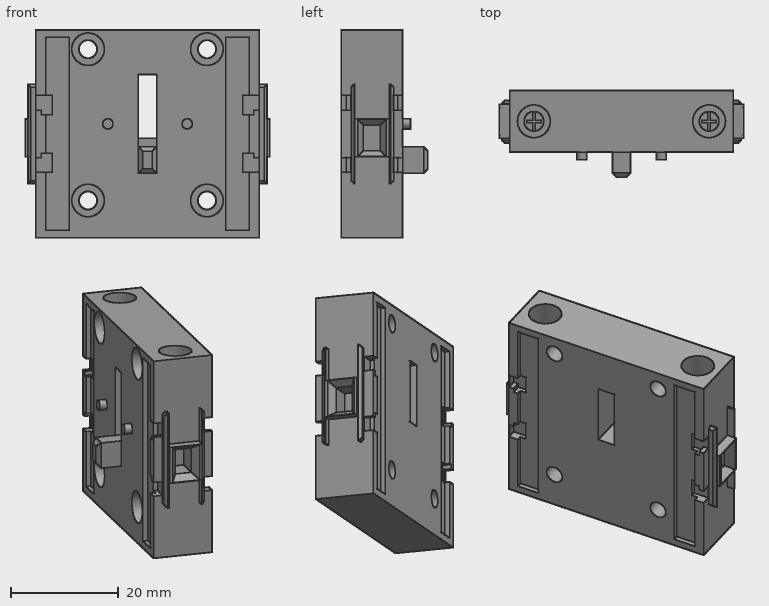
import cadquery as cq

overall_width = 45.4

body_width = 41.5
body_depth = 11.45
body_height = 38.6

groove_inner_x = 14.5
groove_outer_x = 18.85
groove_height = 35.78
groove_depth = 0.95

notch_inner_x = 17.7
notch_step_x = 19.75
notch_inner_z = 3.6
notch_step_z = 4.4
notch_outer_z = 7.15
notch_depth = 1.75

mount_x = 11.05
mount_z_positions = (15.7, -12.35)
mount_hole_diameter = 3.3
mount_bore_diameter = 6.05
mount_bore_depth = 2.3

screw_x = 16.25
screw_bore_diameter = 6.1
screw_bore_depth = 5.45
screw_head_diameter = 3.65
screw_head_height = 0.9
cross_slot_width = 0.45
cross_short_length = 2.72
cross_depth = 0.45

slot_width = 3.4
slot_top_z = 11.0
slot_bottom_z = -7.3
lever_top_z = -2.35
lever_reach = 4.68
lever_chamfer = 0.8
slider_top_z = -0.75
slider_front_y = 2.3

pin_x = 7.35
pin_z = 1.85
pin_diameter = 1.9
pin_length = 1.45

rail_x = 22.2
rail_height = 18.45
rail_chamfer = 0.55
rail_front_y = 1.7
rail_back_y = 9.6
socket_front_y = 2.55
socket_back_y = 8.9
socket_bottom_z = -4.25
socket_top_z = 2.75
socket_side_rim = 0.55
socket_end_rim = 0.1
funnel_taper = 1.05
funnel_depth = 1.73
socket_bore_depth = 4.55


def box(x_range, y_range, z_range):
    """Axis-aligned box between the two limits given for each axis."""
    limits = (x_range, y_range, z_range)
    sizes = [max(limit) - min(limit) for limit in limits]
    corner = tuple(min(limit) for limit in limits)
    return cq.Workplane("XY").box(*sizes, centered=False).translate(corner)


def rod_along_y(x, z, diameter, y_start, y_end):
    """Cylinder parallel to Y between two Y positions."""
    plane = cq.Workplane("XZ", origin=(x, y_start, z))
    return plane.circle(diameter / 2).extrude(y_start - y_end)


def mirror_to_left(shape):
    return shape.mirror("YZ")


def side_groove(y_range):
    return box((groove_inner_x, groove_outer_x), y_range, (-groove_height / 2, groove_height / 2))


def side_notches(y_range):
    """Upper and lower stepped notch on the right side edge."""
    side_x = body_width / 2
    upper = box((notch_inner_x, side_x), y_range, (notch_step_z, notch_outer_z))
    upper = upper.union(box((notch_inner_x, notch_step_x), y_range, (notch_inner_z, notch_step_z)))
    return upper.union(upper.mirror("XY"))


def mounting_hole(z):
    through = rod_along_y(mount_x, z, mount_hole_diameter, 0, body_depth)
    return through.union(rod_along_y(mount_x, z, mount_bore_diameter, 0, mount_bore_depth))


def screw_recess():
    """Bore from the top face, leaving a cross-slotted screw head standing on its floor."""
    floor_z = body_height / 2 - screw_bore_depth
    floor = cq.Workplane("XY", origin=(screw_x, body_depth / 2, floor_z))
    head = floor.circle(screw_head_diameter / 2).extrude(screw_head_height)
    cross_plane = floor.workplane(offset=screw_head_height)
    long_slot = cross_plane.rect(cross_slot_width, screw_head_diameter).extrude(-cross_depth)
    short_slot = cross_plane.rect(cross_short_length, cross_slot_width).extrude(-cross_depth)
    bore = floor.circle(screw_bore_diameter / 2).extrude(screw_bore_depth)
    return bore.cut(head.cut(long_slot).cut(short_slot))


def side_rail(outer_y, inner_y, outer_face):
    """Rail on the right side, chamfered around its outward face except at the body."""
    rail = box((body_width / 2, rail_x), (outer_y, inner_y), (-rail_height / 2, rail_height / 2))
    return rail.faces(outer_face).edges("|X or >X").chamfer(rail_chamfer)


def socket_frame():
    return box(
        (body_width / 2, overall_width / 2),
        (socket_front_y, socket_back_y),
        (socket_bottom_z, socket_top_z),
    )


def socket_opening():
    """Funnel tapering inward from the frame's outer face, followed by a straight bore."""
    mouth_y = socket_back_y - socket_front_y - 2 * socket_side_rim
    mouth_z = socket_top_z - socket_bottom_z - 2 * socket_end_rim
    bore_y = mouth_y - 2 * funnel_taper
    bore_z = mouth_z - 2 * funnel_taper
    middle_y = (socket_front_y + socket_back_y) / 2
    middle_z = (socket_bottom_z + socket_top_z) / 2
    mouth = cq.Workplane("YZ", origin=(overall_width / 2, middle_y, middle_z))
    funnel = mouth.rect(mouth_y, mouth_z).workplane(offset=-funnel_depth).rect(bore_y, bore_z).loft()
    bore = mouth.workplane(offset=-funnel_depth).rect(bore_y, bore_z).extrude(-socket_bore_depth)
    return funnel.union(bore)


def lever():
    """Slider filling the lower end of the slot, with the lever standing out of it."""
    across = (-slot_width / 2, slot_width / 2)
    slider = box(across, (slider_front_y, body_depth), (slot_bottom_z, slider_top_z))
    handle = box(across, (-lever_reach, slider_front_y), (slot_bottom_z, lever_top_z))
    return slider.union(handle.faces("<Y").chamfer(lever_chamfer))


body = box(
    (-body_width / 2, body_width / 2),
    (0, body_depth),
    (-body_height / 2, body_height / 2),
)
body = body.cut(box((-slot_width / 2, slot_width / 2), (0, body_depth), (slot_bottom_z, slot_top_z)))

right_cuts = [
    side_groove((0, groove_depth)),
    side_groove((body_depth - groove_depth, body_depth)),
    side_notches((0, notch_depth)),
    side_notches((body_depth - notch_depth, body_depth)),
    screw_recess(),
]
right_cuts += [mounting_hole(z) for z in mount_z_positions]
for cut in right_cuts:
    body = body.cut(cut).cut(mirror_to_left(cut))

right_additions = [
    side_rail(rail_front_y, socket_front_y, "<Y"),
    side_rail(rail_back_y, socket_back_y, ">Y"),
    socket_frame(),
    rod_along_y(pin_x, pin_z, pin_diameter, -pin_length, 0),
]
for addition in right_additions:
    body = body.union(addition).union(mirror_to_left(addition))

opening = socket_opening()
body = body.cut(opening).cut(mirror_to_left(opening))

result = body.union(lever())